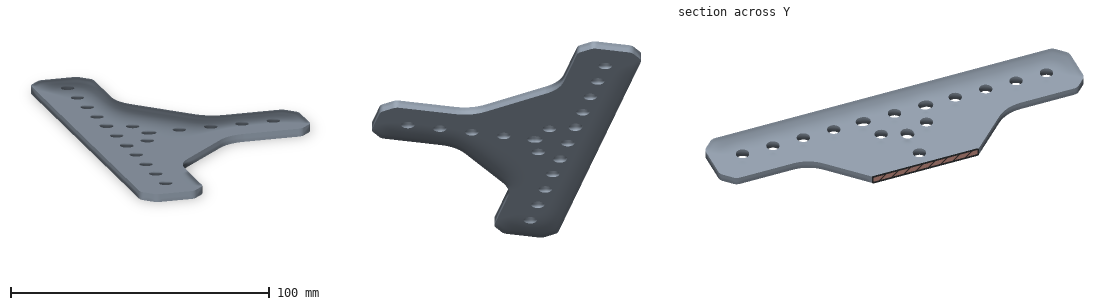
import cadquery as cq
import math

length = 152.4
pitch = length / 12
thickness = 3.2
arm_width = 2 * pitch
depth = 7 * pitch
hole_diameter = 5.2
bolt_circle_radius = 13.4
corner_chamfer = 5.0
corner_radius = 3.2
arm_fillet = 15.2
web_reach = 28.5

half_length = length / 2
half_arm = arm_width / 2
top = depth - half_arm
web_end = half_arm + web_reach


def make_plate():
    """T-shaped plate with sloping webs in its two inner corners."""
    right_side = [
        (half_length, -half_arm),
        (half_length, half_arm),
        (web_end, half_arm),
        (half_arm, web_end),
        (half_arm, top),
    ]
    left_side = [(-x, y) for x, y in reversed(right_side)]
    return (
        cq.Workplane("XY")
        .polyline(right_side + left_side)
        .close()
        .extrude(thickness)
    )


def upright_edges_at(plate, points):
    """Select the upright edges that pass through the given points."""
    reach = 0.2
    selector = None
    for x, y in points:
        box = cq.selectors.BoxSelector(
            (x - reach, y - reach, 0), (x + reach, y + reach, thickness)
        )
        selector = box if selector is None else selector + box
    return plate.edges("|Z").edges(selector)


def finish_corners(plate):
    """Fillet the web corners, then chamfer the arm ends and round the chamfers."""
    arm_ends = [(half_length, -half_arm, 1), (half_length, half_arm, -1), (half_arm, top, -1)]
    web_corners = []
    arm_corners = []
    chamfer_corners = []
    for side in (-1, 1):
        web_corners += [(side * web_end, half_arm), (side * half_arm, web_end)]
        for end_x, end_y, inward in arm_ends:
            arm_corners.append((side * end_x, end_y))
            chamfer_corners.append((side * (end_x - corner_chamfer), end_y))
            chamfer_corners.append((side * end_x, end_y + inward * corner_chamfer))
    plate = upright_edges_at(plate, web_corners).fillet(arm_fillet)
    plate = upright_edges_at(plate, arm_corners).chamfer(corner_chamfer)
    return upright_edges_at(plate, chamfer_corners).fillet(corner_radius)


def hole_centers():
    """Grid holes along the three arms, plus the half ring of bolt-circle holes."""
    centers = [(column * pitch, 0) for column in range(-5, 6)]
    centers += [(0, row * pitch) for row in range(1, 6)]
    for step in range(5):
        angle = math.radians(45 * step)
        x = bolt_circle_radius * math.cos(angle)
        y = bolt_circle_radius * math.sin(angle)
        centers.append((x, y))
    return centers


def make_holes():
    """Through-hole cutters; on the axes a grid and a ring hole merge into one."""
    cutters = cq.Workplane("XY")
    for center in hole_centers():
        hole = cq.Workplane("XY").center(*center).circle(hole_diameter / 2).extrude(thickness)
        cutters = cutters.union(hole) if cutters.objects else hole
    return cutters


result = finish_corners(make_plate()).cut(make_holes())